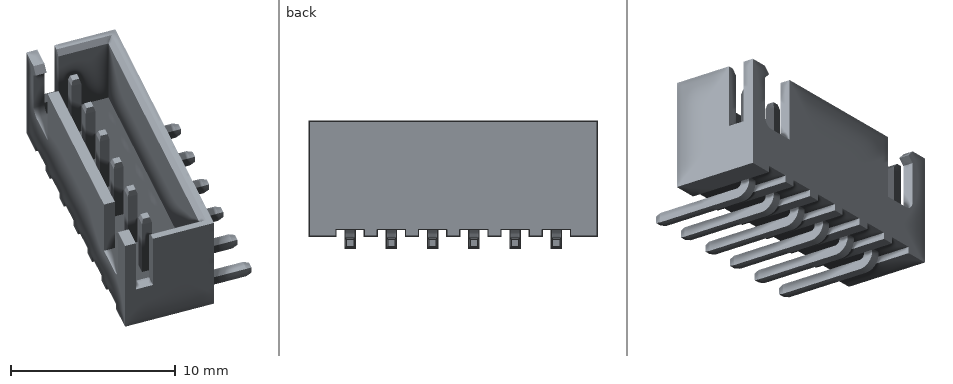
import cadquery as cq
import math


length = 17.5
depth = 5.74
height = 7.0
wall = 0.7
window_depth = 4.0
cavity_depth = 5.0
rim_chamfer = 0.32
floor_z = height - cavity_depth
sill_z = height - window_depth

slot_width = 1.1

window_inset = 1.25
window_width = 2.5
window_radius = 0.63
catch_reach = 0.42
catch_base_drop = 0.79

notch_width = 1.7
notch_height = 0.42

pin_count = 6
pitch = 2.5
pin_size = 0.63
pin_y = 2.2
pin_top_drop = 0.52
tip_length = 0.37
tip_size = 0.44
bend_radius = 0.95
leg_overhang = 3.25
leg_drop = 0.72

diagonal = math.sqrt(0.5)

pin_positions = [(i - (pin_count - 1) / 2) * pitch for i in range(pin_count)]


def block(x_range, y_range, z_range):
    """Box spanning the given (low, high) ranges."""
    (x0, x1), (y0, y1), (z0, z1) = x_range, y_range, z_range
    return cq.Workplane("XY").box(x1 - x0, y1 - y0, z1 - z0, centered=False).translate((x0, y0, z0))


def cavity():
    """Mating cavity, flared at the rim of the end and back walls only."""
    half = length / 2 - wall
    front = wall
    back = depth - wall
    pocket = block((-half, half), (front, back), (floor_z, height))
    flare = (
        cq.Workplane("XY", origin=(0, 0, height - rim_chamfer))
        .rect(2 * half, 2 * back)
        .workplane(offset=rim_chamfer)
        .rect(2 * (half + rim_chamfer), 2 * (back + rim_chamfer))
        .loft(ruled=True)
    )
    behind_front_wall = block((-length / 2, length / 2), (front, depth), (floor_z, height))
    return pocket.union(flare.intersect(behind_front_wall))


def end_slots():
    """Slot crossing both end walls down to the level of the window sills."""
    return block((-length / 2, length / 2), (wall, wall + slot_width), (sill_z, height))


def left_window():
    """Front-wall opening with a pointed catch at the top and a rounded lower outer corner."""
    outer = -length / 2 + window_inset
    inner = outer + window_width
    arc_shift = window_radius * (1 - diagonal)
    return (
        cq.Workplane("XZ")
        .moveTo(inner, height)
        .lineTo(outer, height)
        .lineTo(outer + catch_reach, height - catch_reach)
        .lineTo(outer, height - catch_base_drop)
        .lineTo(outer, sill_z + window_radius)
        .threePointArc((outer + arc_shift, sill_z + arc_shift), (outer + window_radius, sill_z))
        .lineTo(inner, sill_z)
        .close()
        .extrude(-wall)
    )


def notch(x):
    """Channel under the housing, running front to back around one pin."""
    return block((x - notch_width / 2, x + notch_width / 2), (0, depth), (0, notch_height))


def pin_tip(base):
    """Tapered square tip growing from a workplane centred on the end of a pin."""
    return (
        base.rect(pin_size, pin_size)
        .workplane(offset=tip_length)
        .rect(tip_size, tip_size)
        .loft(ruled=True)
    )


def pin():
    """Square pin at X = 0: upright post, rounded bend and a leg reaching out behind the housing."""
    post_end = height - pin_top_drop - tip_length
    leg_end = depth + leg_overhang - tip_length
    front = pin_y - pin_size / 2
    back = front + pin_size
    leg_top = pin_size - leg_drop
    bend_y = front + bend_radius
    bend_z = bend_radius - leg_drop
    outer_mid = bend_radius * diagonal
    inner_mid = (bend_radius - pin_size) * diagonal
    bar = (
        cq.Workplane("YZ")
        .moveTo(front, post_end)
        .lineTo(front, bend_z)
        .threePointArc((bend_y - outer_mid, bend_z - outer_mid), (bend_y, -leg_drop))
        .lineTo(leg_end, -leg_drop)
        .lineTo(leg_end, leg_top)
        .lineTo(bend_y, leg_top)
        .threePointArc((bend_y - inner_mid, bend_z - inner_mid), (back, bend_z))
        .lineTo(back, post_end)
        .close()
        .extrude(pin_size / 2, both=True)
    )
    post_tip = pin_tip(cq.Workplane("XY", origin=(0, pin_y, post_end)))
    leg_plane = cq.Plane(origin=(0, leg_end, leg_top - pin_size / 2), xDir=(1, 0, 0), normal=(0, 1, 0))
    leg_tip = pin_tip(cq.Workplane(leg_plane))
    return bar.union(post_tip).union(leg_tip)


housing = block((-length / 2, length / 2), (0, depth), (0, height))
housing = housing.cut(cavity()).cut(end_slots())
housing = housing.cut(left_window()).cut(left_window().mirror("YZ"))
for x in pin_positions:
    housing = housing.cut(notch(x))

result = housing
for x in pin_positions:
    result = result.union(pin().translate((x, 0, 0)))